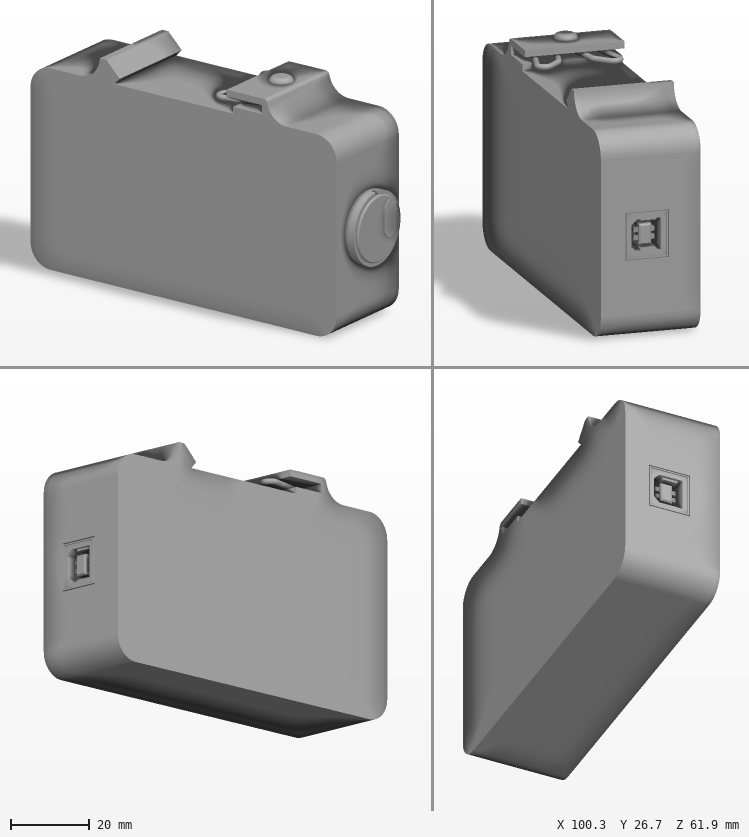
import cadquery as cq
import math

LENGTH = 96.4
WIDTH = 26.7
HEIGHT = 54.4
CORNER_RADIUS = 6.3
SOCKET_HEIGHT = 27.1

HOOK_TOP = HEIGHT + 6.0
ROOT_RADIUS = 6.3
ROOT_CENTER_Z = HEIGHT + ROOT_RADIUS

FIXED_ROOT_X = 15.5
FIXED_TOP_END = 23.9
FIXED_TIP_X = 28.1

PLATE_START = 61.8
PLATE_THICKNESS = 1.8
SLOT_FLOOR = 56.2
SLOT_END = 72.9
LEDGE_START = 63.8
SPRING_ROOT_X = 80.8
EDGE_RADIUS = 1.2

SCREW_X = 69.2
SHANK_DIAMETER = 3.0
HEAD_FLAT_DIAMETER = 3.4
HEAD_HEIGHT = 1.5
HEAD_DIAMETER = HEAD_FLAT_DIAMETER + 2 * HEAD_HEIGHT

TOTAL_LENGTH = 100.3
COLLAR_DIAMETER = 20.0
COLLAR_LENGTH = 3.0
DISC_DIAMETER = 18.0
DISC_LENGTH = 0.6
DISC_CHAMFER = 0.3
NOTCH_WIDTH = 1.5
NOTCH_LENGTH = 1.5
NOTCH_DEPTH = 1.0
PAD_CENTER = (4.6, SOCKET_HEIGHT + 1.6)
PAD_HEIGHT = 10.2
PAD_WIDTH = 5.0

USB_Y = 0.9
USB_WIDTH = 11.6
USB_HEIGHT = 12.6
USB_GAP = 0.3
USB_GAP_DEPTH = 0.5
SHELL_THICKNESS = 0.3
INSERT_SETBACK = 0.3
PORT_WIDTH = 7.9
PORT_HEIGHT = 8.6
PORT_Y = 1.1
PORT_CHAMFER = 1.5
PORT_DEPTH = 8.0
TONGUE_WIDTH = 3.2
TONGUE_HEIGHT = 5.4
TONGUE_Y = 1.1
TONGUE_SETBACK = 1.0
TONGUE_CHAMFER = 0.4
RIDGE_WIDTH = 4.2
RIDGE_HEIGHT = 0.6
RIDGE_Y = 0.3
RIDGE_SETBACK = 1.0
CONTACT_REACH = 1.2
CONTACT_HEIGHT = 1.2
CONTACT_SPACING = 2.1
CONTACT_SETBACK = 2.0

WIRE_DIAMETER = 1.5
WIRE_Z = 57.0
COIL_RADIUS = 2.4
ARM_ANGLE = math.radians(14)
SIDE_ANGLE = math.radians(45)
BEND_RADIUS = 2.0
LOBE_CENTER = (58.6, 9.2)
LOBE_RADIUS = 1.8
TAIL_END_X = 68.6


def centred_box(x_range, y, z, width, height):
    x_start, x_end = x_range
    return cq.Workplane("YZ", origin=(x_start, y, z)).rect(width, height).extrude(x_end - x_start)


def extrude_across(outline):
    return outline.close().extrude(WIDTH / 2, both=True)


def make_block():
    block = cq.Workplane("XY").box(LENGTH, WIDTH, HEIGHT, centered=(False, True, False))
    return block.edges("|Y").fillet(CORNER_RADIUS)


def root_point(center_x, angle):
    return (center_x + ROOT_RADIUS * math.cos(angle), ROOT_CENTER_Z + ROOT_RADIUS * math.sin(angle))


def make_fixed_hook():
    tip_z = HOOK_TOP - (FIXED_TIP_X - FIXED_TOP_END)
    foot_x = FIXED_TIP_X - (tip_z - HEIGHT)
    end_angle = math.asin((HOOK_TOP - ROOT_CENTER_Z) / ROOT_RADIUS)
    middle_angle = (end_angle - math.pi / 2) / 2
    return extrude_across(
        cq.Workplane("XZ")
        .moveTo(FIXED_ROOT_X, HEIGHT)
        .threePointArc(root_point(FIXED_ROOT_X, middle_angle), root_point(FIXED_ROOT_X, end_angle))
        .lineTo(FIXED_TOP_END, HOOK_TOP)
        .lineTo(FIXED_TIP_X, tip_z)
        .lineTo(foot_x, HEIGHT)
    )


def make_spring_hook():
    edge_z = HOOK_TOP - EDGE_RADIUS
    drop = ROOT_CENTER_Z - edge_z
    reach = ROOT_RADIUS + EDGE_RADIUS
    edge_x = SPRING_ROOT_X - math.sqrt(reach**2 - drop**2)
    join_angle = math.atan2(drop, SPRING_ROOT_X - edge_x)
    edge_middle = (math.pi / 2 + join_angle) / 2
    root_middle = math.pi + (join_angle + math.pi / 2) / 2
    plate_bottom = HOOK_TOP - PLATE_THICKNESS
    return extrude_across(
        cq.Workplane("XZ")
        .moveTo(LEDGE_START, HEIGHT)
        .lineTo(LEDGE_START, SLOT_FLOOR)
        .lineTo(SLOT_END, SLOT_FLOOR)
        .lineTo(SLOT_END, plate_bottom)
        .lineTo(PLATE_START, plate_bottom)
        .lineTo(PLATE_START, HOOK_TOP)
        .lineTo(edge_x, HOOK_TOP)
        .threePointArc(
            (edge_x + EDGE_RADIUS * math.cos(edge_middle), edge_z + EDGE_RADIUS * math.sin(edge_middle)),
            root_point(SPRING_ROOT_X, math.pi + join_angle),
        )
        .threePointArc(root_point(SPRING_ROOT_X, root_middle), (SPRING_ROOT_X, HEIGHT))
    )


def make_screw():
    shank = cq.Workplane("XY", origin=(SCREW_X, 0, SLOT_FLOOR)).circle(SHANK_DIAMETER / 2)
    shank = shank.extrude(HOOK_TOP - SLOT_FLOOR)
    flat_radius = HEAD_FLAT_DIAMETER / 2
    arc_reach = HEAD_HEIGHT * math.sqrt(0.5)
    head = (
        cq.Workplane("XZ", origin=(SCREW_X, 0, HOOK_TOP))
        .lineTo(HEAD_DIAMETER / 2, 0)
        .threePointArc((flat_radius + arc_reach, arc_reach), (flat_radius, HEAD_HEIGHT))
        .lineTo(0, HEAD_HEIGHT)
        .close()
        .revolve(360, (0, 0), (0, 1))
    )
    return shank.union(head)


def end_cylinder(diameter, x_start, length):
    return cq.Workplane("YZ", origin=(x_start, 0, SOCKET_HEIGHT)).circle(diameter / 2).extrude(length)


def make_round_socket():
    collar_end = LENGTH + COLLAR_LENGTH
    disc_end = collar_end + DISC_LENGTH
    collar = end_cylinder(COLLAR_DIAMETER, LENGTH, COLLAR_LENGTH)
    notch = centred_box(
        (collar_end - NOTCH_LENGTH, collar_end),
        0,
        SOCKET_HEIGHT + COLLAR_DIAMETER / 2,
        NOTCH_WIDTH,
        2 * NOTCH_DEPTH,
    )
    disc = end_cylinder(DISC_DIAMETER, collar_end, DISC_LENGTH).faces(">X").chamfer(DISC_CHAMFER)
    pad = cq.Workplane("YZ", origin=(disc_end, *PAD_CENTER)).slot2D(PAD_HEIGHT, PAD_WIDTH, 90)
    pad = pad.extrude(TOTAL_LENGTH - disc_end)
    return collar.cut(notch).union(disc).union(pad)


def add_usb_socket(housing):
    outer = centred_box((0, USB_GAP_DEPTH), USB_Y, SOCKET_HEIGHT, USB_WIDTH, USB_HEIGHT)
    shell_width = USB_WIDTH - 2 * USB_GAP
    shell_height = USB_HEIGHT - 2 * USB_GAP
    shell = centred_box((0, USB_GAP_DEPTH), USB_Y, SOCKET_HEIGHT, shell_width, shell_height)
    insert = centred_box(
        (0, INSERT_SETBACK),
        USB_Y,
        SOCKET_HEIGHT,
        shell_width - 2 * SHELL_THICKNESS,
        shell_height - 2 * SHELL_THICKNESS,
    )
    port = centred_box((0, PORT_DEPTH), PORT_Y, SOCKET_HEIGHT, PORT_WIDTH, PORT_HEIGHT)
    port = port.faces(">Y").edges("|X").chamfer(PORT_CHAMFER)
    tongue = centred_box((TONGUE_SETBACK, PORT_DEPTH), TONGUE_Y, SOCKET_HEIGHT, TONGUE_WIDTH, TONGUE_HEIGHT)
    tongue = tongue.faces("<X").chamfer(TONGUE_CHAMFER)
    housing = housing.cut(outer.cut(shell)).cut(insert).cut(port).union(tongue)
    for end in (-1, 1):
        ridge = centred_box(
            (RIDGE_SETBACK, PORT_DEPTH),
            RIDGE_Y,
            SOCKET_HEIGHT + end * (PORT_HEIGHT - RIDGE_HEIGHT) / 2,
            RIDGE_WIDTH,
            RIDGE_HEIGHT,
        )
        housing = housing.union(ridge)
    for side in (-1, 1):
        for row in (-1, 1):
            contact = centred_box(
                (CONTACT_SETBACK, PORT_DEPTH),
                TONGUE_Y + side * (TONGUE_WIDTH + CONTACT_REACH) / 2,
                SOCKET_HEIGHT + row * CONTACT_SPACING / 2,
                CONTACT_REACH,
                CONTACT_HEIGHT,
            )
            housing = housing.union(contact)
    return housing


def make_housing():
    housing = make_block().union(make_fixed_hook()).union(make_spring_hook())
    housing = housing.union(make_screw()).union(make_round_socket())
    return add_usb_socket(housing)


def polar(center, radius, angle):
    return (center[0] + radius * math.cos(angle), center[1] + radius * math.sin(angle))


def make_spring():
    coil_center = (SCREW_X, 0)
    leave_angle = math.pi / 2 - ARM_ANGLE
    coil_back = polar(coil_center, COIL_RADIUS, 0)
    coil_middle = polar(coil_center, COIL_RADIUS, leave_angle / 2)
    coil_leave = polar(coil_center, COIL_RADIUS, leave_angle)

    lobe_inner_angle = SIDE_ANGLE + math.pi
    lobe_inner = polar(LOBE_CENTER, LOBE_RADIUS, lobe_inner_angle)
    lobe_middle = polar(LOBE_CENTER, LOBE_RADIUS, (lobe_inner_angle + leave_angle) / 2)
    lobe_outer = polar(LOBE_CENTER, LOBE_RADIUS, leave_angle)
    tail_end = (TAIL_END_X, lobe_outer[1] - math.tan(ARM_ANGLE) * (TAIL_END_X - lobe_outer[0]))

    arm_slope = -math.tan(ARM_ANGLE)
    side_slope = -math.tan(SIDE_ANGLE)
    arm_level = coil_leave[1] - arm_slope * coil_leave[0]
    side_level = lobe_inner[1] - side_slope * lobe_inner[0]
    corner_x = (side_level - arm_level) / (arm_slope - side_slope)
    corner = (corner_x, arm_level + arm_slope * corner_x)
    half_turn = (SIDE_ANGLE - ARM_ANGLE) / 2
    setback = BEND_RADIUS * math.tan(half_turn)
    bend_start = polar(corner, setback, -ARM_ANGLE)
    bend_end = polar(corner, setback, math.pi - SIDE_ANGLE)
    bend_axis = (math.pi - ARM_ANGLE - SIDE_ANGLE) / 2
    bend_middle = polar(corner, BEND_RADIUS * (1 / math.cos(half_turn) - 1), bend_axis)

    path = (
        cq.Workplane("XY", origin=(0, 0, WIRE_Z))
        .moveTo(*coil_back)
        .threePointArc(coil_middle, coil_leave)
        .lineTo(*bend_start)
        .threePointArc(bend_middle, bend_end)
        .lineTo(*lobe_inner)
        .threePointArc(lobe_middle, lobe_outer)
        .lineTo(*tail_end)
    )
    section = cq.Workplane("XZ", origin=(coil_back[0], 0, WIRE_Z)).circle(WIRE_DIAMETER / 2)
    half = section.sweep(path)
    return half.union(half.mirror("XZ"))


housing = make_housing()
spring = make_spring()
result = cq.Compound.makeCompound([housing.val(), spring.val()])